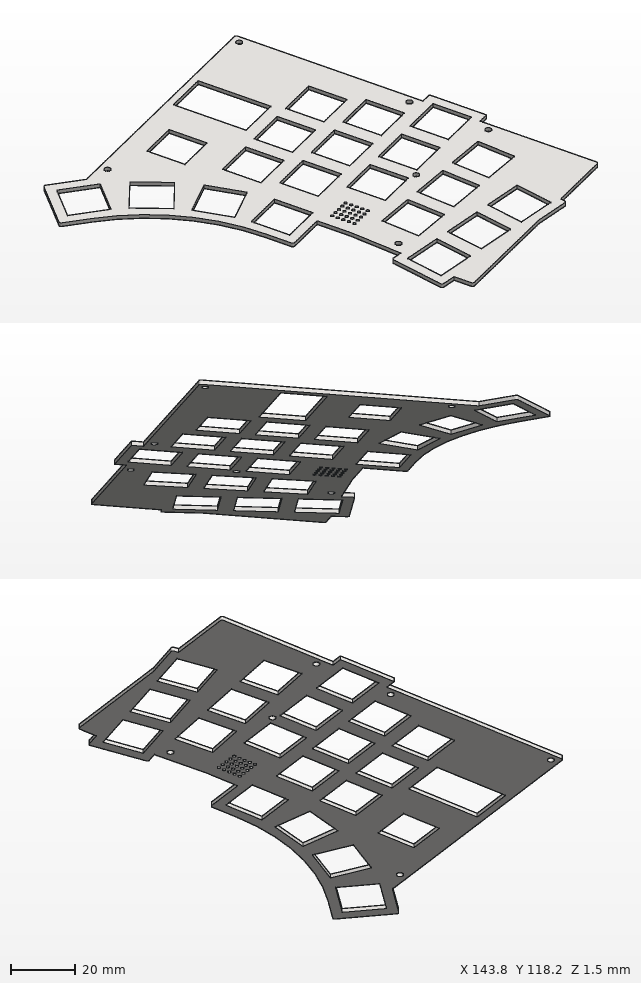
import cadquery as cq
import math

overall_length = 143.8
thickness = 1.5
corner_radius = 0.7

switch_opening = 14.0
switch_frame = 20.8
column_rows = 3
column_length = 38.1
row_pitch = column_length / (column_rows - 1)

index_x = 88.1
column_spacing = row_pitch
tilted_column = (108.7, 78.2, -4)
outer_tilt = -10
outer_turn = math.radians(-outer_tilt)
outer_half_width = (
    switch_frame / 2 * math.cos(outer_turn)
    + (column_length + switch_frame) / 2 * math.sin(outer_turn)
    - corner_radius * (math.cos(outer_turn) + math.sin(outer_turn) - 1)
)
outer_column = (overall_length - outer_half_width, 64.0, outer_tilt)
index_column = (index_x, 88.7, 0)
finger_columns = [
    (index_x - 2 * column_spacing, 76.8, 0),
    (index_x - column_spacing, 79.8, 0),
    index_column,
    tilted_column,
    outer_column,
]

thumb_radius = 81.7
thumb_step = 15
thumb_count = 4
fan_angle = thumb_step * (thumb_count - 1)
tip_offset = switch_frame / math.sqrt(2) - corner_radius * (math.sqrt(2) - 1)
fan_x = tip_offset + thumb_radius * math.sin(math.radians(fan_angle))
fan_y = tip_offset - thumb_radius * math.cos(math.radians(fan_angle))

left_x = 9.5
right_x = 141.6
top_y = 114.3
right_bottom_y = 38.7
notch_y = 42.3
notch_bend_x = 94.9

window = (25.3, 80.0, 26.5, 15.0)
encoder_opening = (24.7, 53.6, 13.8, 13.4)

screw_diameter = 2.2
screw_top_y = 111.7
screw_left_x = 12.4
screw_points = [
    (screw_left_x, screw_top_y),
    (74.3, screw_top_y),
    (103.1, screw_top_y),
    (96.3, 79.4),
    (110.5, 45.0),
    (screw_left_x, 32.2),
]

vent_centre = (89.3, 51.0)
vent_count = 5
vent_pitch = 2.0
vent_diameter = 1.0


def fan_point(radius, angle):
    """Point of the thumb fan, angle in degrees measured from +Y towards -X."""
    turn = math.radians(angle)
    return fan_x - radius * math.sin(turn), fan_y + radius * math.cos(turn)


def block(x, y, width, height, tilt=0):
    """Full-thickness rectangular block centred on (x, y) and turned about Z."""
    plane = cq.Workplane("XY").center(x, y)
    return plane.transformed(rotate=(0, 0, tilt)).rect(width, height).extrude(thickness)


def column_centres(x, y, tilt):
    """Switch centres of a finger column."""
    turn = math.radians(tilt)
    offsets = [row * row_pitch - column_length / 2 for row in range(column_rows)]
    return [(x - d * math.sin(turn), y + d * math.cos(turn)) for d in offsets]


def plate_body():
    """Main plate with the concave edge under the thumb fan."""
    inner_radius = thumb_radius - switch_frame / 2
    thumb_right_x = fan_x + switch_frame / 2
    outer_bottom_x = column_centres(*outer_column)[0][0]
    slope = math.tan(math.radians(tilted_column[2]))
    slope_end_y = notch_y + slope * (outer_bottom_x - notch_bend_x)
    outline = (
        cq.Workplane("XY")
        .moveTo(left_x, top_y)
        .lineTo(right_x, top_y)
        .lineTo(right_x, right_bottom_y)
        .lineTo(outer_bottom_x, right_bottom_y)
        .lineTo(outer_bottom_x, slope_end_y)
        .lineTo(notch_bend_x, notch_y)
        .lineTo(thumb_right_x, notch_y)
        .lineTo(thumb_right_x, fan_y + inner_radius)
        .lineTo(*fan_point(inner_radius, 0))
        .threePointArc(fan_point(inner_radius, fan_angle / 2), fan_point(inner_radius, fan_angle))
        .lineTo(tip_offset, tip_offset)
        .lineTo(left_x, tip_offset)
        .close()
    )
    body = outline.extrude(thickness)
    rounded = [
        (left_x, top_y),
        (right_x, top_y),
        (right_x, right_bottom_y),
        (thumb_right_x, fan_y + inner_radius),
    ]
    for x, y in rounded:
        corner = cq.selectors.NearestToPointSelector((x, y, thickness / 2))
        body = body.edges("|Z").edges(corner).fillet(corner_radius)
    return body


def frames():
    """Plate areas around switches that reach past the main outline."""
    index_top = column_centres(*index_column)[-1]
    outer_x, outer_y, tilt = outer_column
    thumb_tip = block(tip_offset, tip_offset, switch_frame, switch_frame, fan_angle)
    outer_strip = block(outer_x, outer_y, switch_frame, column_length + switch_frame, tilt)
    index_tab = block(*index_top, switch_frame, switch_frame)
    rounded_tip = thumb_tip.edges("|Z").fillet(corner_radius)
    rounded_strip = outer_strip.edges("|Z").fillet(corner_radius)
    return rounded_tip.union(rounded_strip).union(index_tab)


def openings():
    """Switch, window and encoder openings."""
    cutter = block(*window).union(block(*encoder_opening))
    for x, y, tilt in finger_columns:
        for centre in column_centres(x, y, tilt):
            cutter = cutter.union(block(*centre, switch_opening, switch_opening, tilt))
    for index in range(thumb_count):
        angle = index * thumb_step
        centre = fan_point(thumb_radius, angle)
        cutter = cutter.union(block(*centre, switch_opening, switch_opening, angle))
    return cutter


def round_holes():
    """Screw holes and the vent grid."""
    screws = cq.Workplane("XY").pushPoints(screw_points).circle(screw_diameter / 2).extrude(thickness)
    vents = (
        cq.Workplane("XY")
        .center(*vent_centre)
        .rarray(vent_pitch, vent_pitch, vent_count, vent_count)
        .circle(vent_diameter / 2)
        .extrude(thickness)
    )
    return screws.union(vents)


result = plate_body().union(frames()).cut(openings()).cut(round_holes())